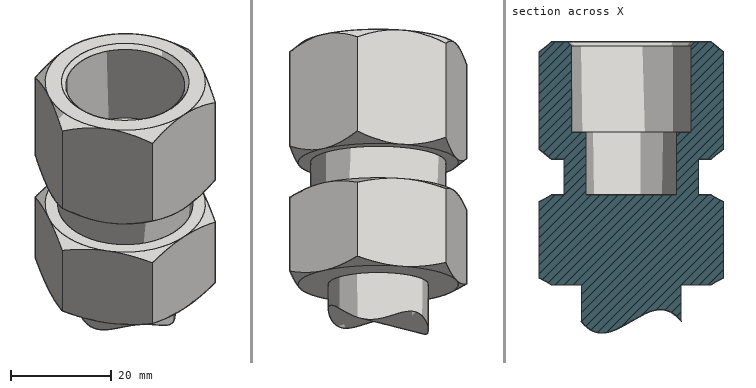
import cadquery as cq
import math

across_flats = 32.0
across_corners = across_flats / math.cos(math.radians(30))
total_height = 58.15

body_hex_height = 23.5
body_chamfer_angle = 40.0
nut_height = 18.0
nut_chamfer_angle = 30.0
neck_diameter = 27.05
neck_height = 7.05
tube_diameter = 20.0

socket_diameter = 23.7
socket_mouth_diameter = 25.45
socket_depth = 18.0
tube_bore_diameter = 18.0

wave_amplitude = 2.3
wave_crest_offset = 5.45

body_bottom = total_height - body_hex_height
nut_top = body_bottom - neck_height
nut_bottom = nut_top - nut_height
socket_floor = total_height - socket_depth


def chamfered_hex(bottom, height, chamfer_angle):
    """Hexagon with corners on the Y axis, both ends trimmed by a cone that meets the flats."""
    top = bottom + height
    flat_radius = across_flats / 2
    corner_radius = across_corners / 2
    corner_drop = (corner_radius - flat_radius) * math.tan(math.radians(chamfer_angle))
    prism = (
        cq.Workplane("XY", origin=(0, 0, bottom))
        .polygon(6, across_corners)
        .extrude(height)
        .rotate((0, 0, 0), (0, 0, 1), 30)
    )
    envelope = (
        cq.Workplane("XZ")
        .moveTo(0, bottom)
        .lineTo(flat_radius, bottom)
        .lineTo(corner_radius, bottom + corner_drop)
        .lineTo(corner_radius, top - corner_drop)
        .lineTo(flat_radius, top)
        .lineTo(0, top)
        .close()
        .revolve(360, (0, 0, 0), (0, 1, 0))
    )
    return prism.intersect(envelope)


def wavy_tube_end():
    """Solid tube stub whose lower end is an S-shaped wave running along Y."""
    radius = tube_diameter / 2
    stub = cq.Workplane("XY").circle(radius).extrude(nut_bottom)
    wave = [
        (-wave_crest_offset, 2 * wave_amplitude),
        (0, wave_amplitude),
        (wave_crest_offset, 0),
        (radius, wave_amplitude),
    ]
    above_wave = (
        cq.Workplane("YZ")
        .moveTo(-radius, wave_amplitude)
        .spline(wave, includeCurrent=True)
        .lineTo(radius, nut_bottom)
        .lineTo(-radius, nut_bottom)
        .close()
        .extrude(radius, both=True)
    )
    return stub.intersect(above_wave)


def socket():
    """Chamfered socket from the top, stepping down to the tube bore that ends level with the nut."""
    mouth_radius = socket_mouth_diameter / 2
    socket_radius = socket_diameter / 2
    bore_radius = tube_bore_diameter / 2
    mouth_chamfer = mouth_radius - socket_radius
    return (
        cq.Workplane("XZ")
        .moveTo(0, total_height)
        .lineTo(mouth_radius, total_height)
        .lineTo(socket_radius, total_height - mouth_chamfer)
        .lineTo(socket_radius, socket_floor)
        .lineTo(bore_radius, socket_floor)
        .lineTo(bore_radius, nut_top)
        .lineTo(0, nut_top)
        .close()
        .revolve(360, (0, 0, 0), (0, 1, 0))
    )


neck = cq.Workplane("XY", origin=(0, 0, nut_top)).circle(neck_diameter / 2).extrude(neck_height)

result = (
    chamfered_hex(body_bottom, body_hex_height, body_chamfer_angle)
    .union(neck)
    .union(chamfered_hex(nut_bottom, nut_height, nut_chamfer_angle))
    .union(wavy_tube_end())
    .cut(socket())
)